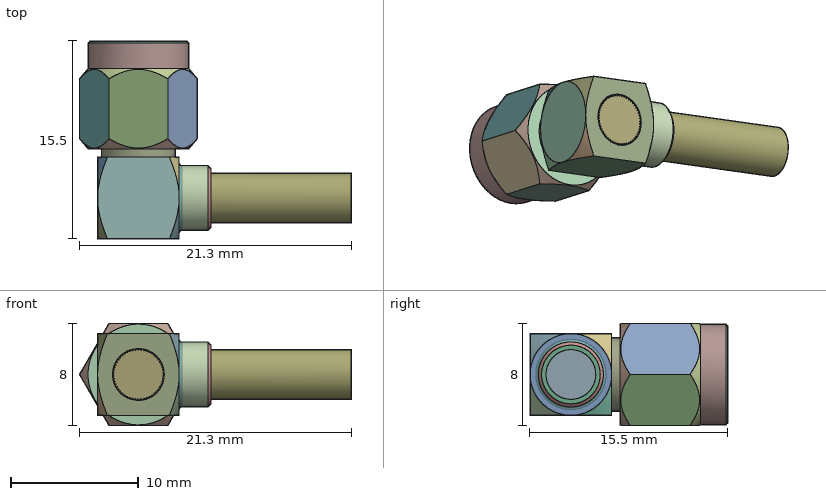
import cadquery as cq
import math


BLOCK_SIZE = 6.4
BLOCK_HALF = BLOCK_SIZE / 2
BLOCK_CHAMFER_ANGLE = 30.0
NECK_DIAMETER = 5.8
NECK_LENGTH = 0.65

CAP_RADIUS = 2.03
CAP_DEPTH = 1.0
KNURL_COUNT = 54
KNURL_PITCH = 2 * math.pi * CAP_RADIUS / KNURL_COUNT
KNURL_DEPTH = KNURL_PITCH / 2

BOSS_RADIUS = 2.55
BOSS_LENGTH = 2.5
BOSS_END_X = BLOCK_HALF + BOSS_LENGTH
BOSS_ROOT_FILLET = 0.2
BOSS_CHAMFER = 0.25

TUBE_DIAMETER = 3.9
TUBE_END_X = 16.70

NUT_FLATS = 8.0
NUT_CORNER_RADIUS = NUT_FLATS / 2 / math.cos(math.pi / 6)
NUT_START_Y = BLOCK_HALF + NECK_LENGTH
NUT_END_Y = 12.3
HEX_LENGTH = 6.3
HEX_CHAMFER_ANGLE = 50.0
COLLAR_RADIUS = 3.95
COLLAR_CHAMFER = 0.15


def along_y(start_y):
    """Plane at start_y whose normal is +Y and whose local x is +X."""
    return cq.Plane(origin=(0, start_y, 0), xDir=(1, 0, 0), normal=(0, 1, 0))


def along_x(start_x):
    """Plane at start_x whose normal is +X."""
    return cq.Plane(origin=(start_x, 0, 0), xDir=(0, 1, 0), normal=(1, 0, 0))


def turned_envelope(plane, length, end_radius, corner_radius, angle):
    """Round bar along the plane normal, coned at both ends down to end_radius."""
    cone_length = (corner_radius - end_radius) * math.tan(math.radians(angle))
    profile_plane = cq.Plane(origin=plane.origin, xDir=plane.xDir, normal=-plane.yDir)
    return (
        cq.Workplane(profile_plane)
        .polyline(
            [
                (0, 0),
                (end_radius, 0),
                (corner_radius, cone_length),
                (corner_radius, length - cone_length),
                (end_radius, length),
                (0, length),
            ]
        )
        .close()
        .revolve(360, (0, 0), (0, 1))
    )


def make_block():
    """Cube whose corners are turned off around X, leaving round end faces."""
    cube = cq.Workplane("XY").box(BLOCK_SIZE, BLOCK_SIZE, BLOCK_SIZE)
    envelope = turned_envelope(
        along_x(-BLOCK_HALF), BLOCK_SIZE, BLOCK_HALF, BLOCK_HALF * math.sqrt(2), BLOCK_CHAMFER_ANGLE
    )
    return cube.intersect(envelope)


def make_boss():
    """Turned boss along +X with a root fillet and an end chamfer."""
    root_radius = BOSS_RADIUS + BOSS_ROOT_FILLET
    arc_offset = BOSS_ROOT_FILLET * (1 - math.sqrt(0.5))
    return (
        cq.Workplane("XY")
        .moveTo(0, 0)
        .lineTo(0, root_radius)
        .lineTo(BLOCK_HALF, root_radius)
        .threePointArc(
            (BLOCK_HALF + arc_offset, BOSS_RADIUS + arc_offset),
            (BLOCK_HALF + BOSS_ROOT_FILLET, BOSS_RADIUS),
        )
        .lineTo(BOSS_END_X - BOSS_CHAMFER, BOSS_RADIUS)
        .lineTo(BOSS_END_X, BOSS_RADIUS - BOSS_CHAMFER)
        .lineTo(BOSS_END_X, 0)
        .close()
        .revolve(360, (0, 0), (1, 0))
    )


def make_crimp_tube():
    """Round end of the elbow that runs out along +X."""
    return cq.Workplane(along_x(BOSS_END_X)).circle(TUBE_DIAMETER / 2).extrude(TUBE_END_X - BOSS_END_X)


def make_elbow():
    """Block, neck, boss and crimp tube as one body, bored for the cap."""
    neck = cq.Workplane(along_y(0)).circle(NECK_DIAMETER / 2).extrude(NUT_START_Y)
    cap_bore = cq.Workplane(along_y(-BLOCK_HALF)).circle(CAP_RADIUS).extrude(CAP_DEPTH)
    return make_block().union(neck).union(make_boss()).union(make_crimp_tube()).cut(cap_bore)


def make_cap():
    """Disc flush with the block face, with V teeth around its rim that touch the bore."""
    knurl_points = []
    for index in range(2 * KNURL_COUNT):
        is_valley = index % 2 == 0
        radius = CAP_RADIUS - KNURL_DEPTH if is_valley else CAP_RADIUS
        angle = math.pi / 2 + index * math.pi / KNURL_COUNT
        knurl_points.append((radius * math.cos(angle), radius * math.sin(angle)))
    return cq.Workplane(along_y(-BLOCK_HALF)).polyline(knurl_points).close().extrude(CAP_DEPTH)


def make_nut():
    """Hexagon with turned corners, flats on +Z and -Z, and a round collar at its +Y end."""
    hexagon = cq.Workplane(along_y(NUT_START_Y)).polygon(6, 2 * NUT_CORNER_RADIUS).extrude(HEX_LENGTH)
    envelope = turned_envelope(
        along_y(NUT_START_Y), HEX_LENGTH, COLLAR_RADIUS, NUT_CORNER_RADIUS, HEX_CHAMFER_ANGLE
    )
    collar = (
        cq.Workplane(along_y(NUT_START_Y))
        .circle(COLLAR_RADIUS)
        .extrude(NUT_END_Y - NUT_START_Y)
        .faces(">Y")
        .chamfer(COLLAR_CHAMFER)
    )
    return hexagon.intersect(envelope).union(collar)


elbow = make_elbow()
cap = make_cap()
nut = make_nut()

result = cq.Compound.makeCompound([elbow.solids().val(), cap.val(), nut.solids().val()])